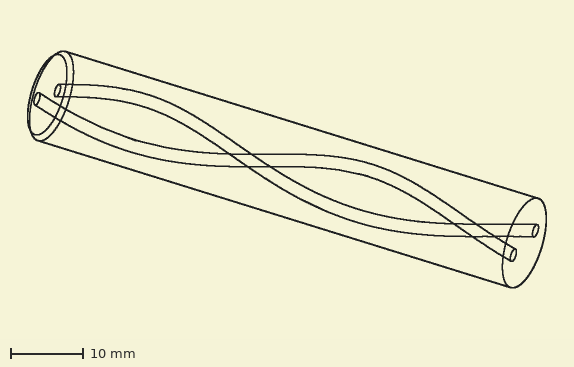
import cadquery as cq
import math

rod_length = 75.0
rod_diameter = 13.0
end_chamfer = 0.7

hole_diameter = 1.8
hole_circle_diameter = 6.5
hole_angle = 158.0
helix_angle = 30.0
hole_twist = math.degrees(rod_length * math.tan(math.radians(helix_angle)) / (rod_diameter / 2))


def make_rod():
    """Solid rod, chamfered at the -X end."""
    rod = cq.Workplane("YZ").circle(rod_diameter / 2).extrude(rod_length)
    return rod.faces("<X").chamfer(end_chamfer)


def make_hole(angle):
    """Helical cutter twisting about the rod axis over the full length of the rod."""
    radius = hole_circle_diameter / 2
    y = radius * math.cos(math.radians(angle))
    z = radius * math.sin(math.radians(angle))
    profile = cq.Workplane("YZ").moveTo(y, z).circle(hole_diameter / 2)
    return profile.twistExtrude(rod_length, hole_twist)


result = make_rod()
for turn in (0, 180):
    result = result.cut(make_hole(hole_angle + turn))